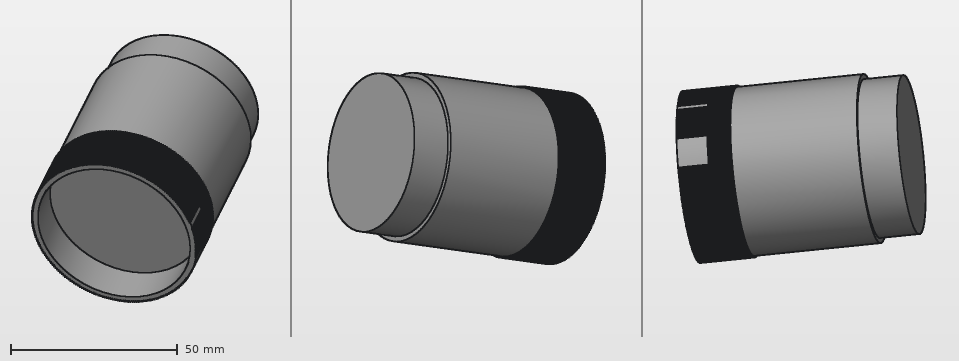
import cadquery as cq
import math

total_length = 67.0
grip_length = 16.5
spigot_length = 12.0
body_diameter = 51.1
spigot_diameter = 48.05

recess_diameter = spigot_diameter
recess_depth = spigot_length

tooth_count = 240
tip_diameter = 52.0
root_diameter = 51.3
tooth_pitch = 360.0 / tooth_count
first_tip_angle = -0.5

pad_length = 9.4
pad_spans = [(-27.0, -6.8), (18.0, 22.5)]

front_y = -total_length / 2
grip_end_y = front_y + grip_length
spigot_start_y = total_length / 2 - spigot_length
spigot_end_y = total_length / 2


def polar(diameter, angle):
    """Point at an angle in degrees on a circle about the Y axis."""
    radians = math.radians(angle)
    return (diameter / 2 * math.cos(radians), diameter / 2 * math.sin(radians))


def section_plane(y):
    """Plane square to the axis at y, with local x along +X, local y along +Z and normal along -Y."""
    return cq.Workplane("XZ", origin=(0, y, 0))


def disc(diameter, start_y, end_y):
    """Solid cylinder about the Y axis between two places along it."""
    return section_plane(end_y).circle(diameter / 2).extrude(end_y - start_y)


def knurled_grip():
    """Pointed teeth with their tips one pitch apart."""
    outline = []
    for tooth in range(tooth_count):
        tip_angle = first_tip_angle + tooth * tooth_pitch
        outline.append(polar(tip_diameter, tip_angle))
        outline.append(polar(root_diameter, tip_angle + tooth_pitch / 2))
    return section_plane(grip_end_y).polyline(outline).close().extrude(grip_length)


def smooth_pad(start_angle, end_angle):
    """Pie-shaped sector at tip height, starting at the open end."""
    pad_end_y = front_y + pad_length
    return (
        section_plane(pad_end_y)
        .lineTo(*polar(tip_diameter, start_angle))
        .threePointArc(
            polar(tip_diameter, (start_angle + end_angle) / 2),
            polar(tip_diameter, end_angle),
        )
        .close()
        .extrude(pad_length)
    )


result = knurled_grip()
for span in pad_spans:
    result = result.union(smooth_pad(*span))
result = result.union(disc(body_diameter, grip_end_y, spigot_start_y))
result = result.union(disc(spigot_diameter, spigot_start_y, spigot_end_y))
result = result.cut(disc(recess_diameter, front_y, front_y + recess_depth))